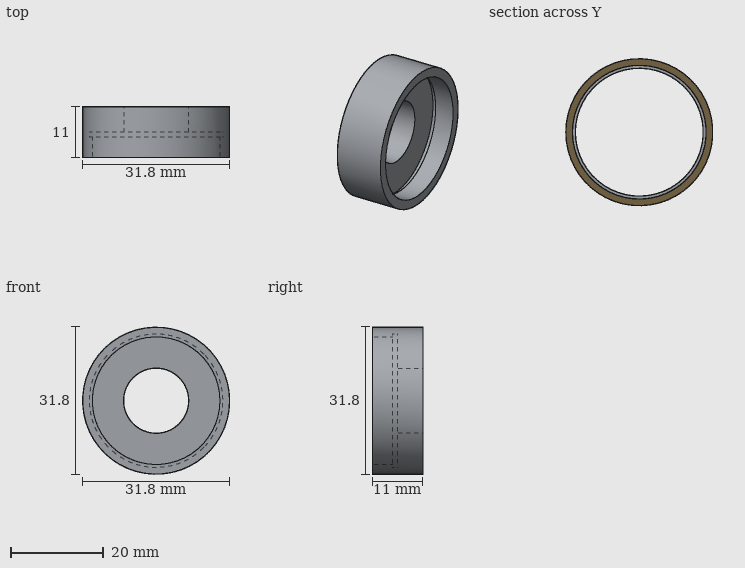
import cadquery as cq

outer_diameter = 31.75
width = 11.0
bore_diameter = 14.0
recess_diameter = 27.53
recess_depth = width / 2
groove_diameter = 28.8
groove_width = 1.08

front_y = -width / 2


def cylinder(diameter, start_depth, end_depth):
    """Cylinder between two depths measured along +Y from the front face."""
    start_face = cq.Workplane("XZ", origin=(0, front_y + start_depth, 0))
    return start_face.circle(diameter / 2).extrude(start_depth - end_depth)


ring = cylinder(outer_diameter, 0, width)
bore = cylinder(bore_diameter, 0, width)
recess = cylinder(recess_diameter, 0, recess_depth)

groove = cylinder(groove_diameter, recess_depth - groove_width, recess_depth)

result = ring.cut(bore).cut(recess).cut(groove)